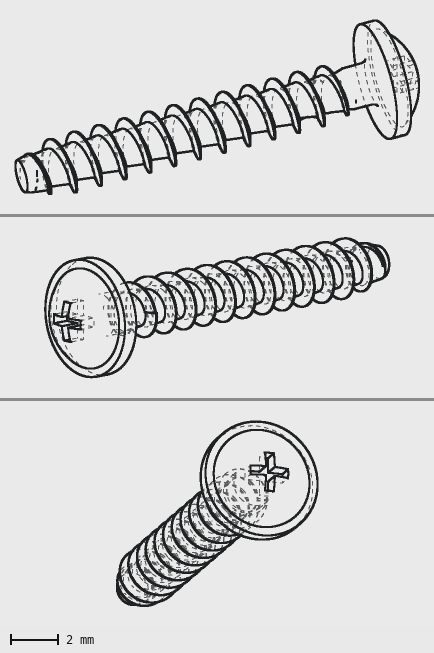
import cadquery as cq
import math


LENGTH = 17.77

FLANGE_DIAMETER = 5.0
FLANGE_RADIUS = FLANGE_DIAMETER / 2
DOME_HEIGHT = 1.15
DOME_RADIUS = 2.13
HEAD_HEIGHT = 1.8
SLOT_WIDTH = 0.39
SLOT_LENGTH = 1.67
SLOT_DEPTH = 0.89
DOME_SPHERE_RADIUS = (DOME_RADIUS**2 + DOME_HEIGHT**2) / (2 * DOME_HEIGHT)


def dome_drop(radius):
    """Axial distance from the crown to the dome surface at a given radius."""
    return DOME_SPHERE_RADIUS - math.sqrt(DOME_SPHERE_RADIUS**2 - radius**2)


CROWN_LOSS = dome_drop(SLOT_WIDTH / math.sqrt(2))
TIP_HEIGHT = LENGTH + CROWN_LOSS

SHANK_DIAMETER = 1.8
SHANK_RADIUS = SHANK_DIAMETER / 2
NECK_FILLET = 0.4
SHANK_END = 3.02
NECK_TAPER_END = 3.55
CORE_DIAMETER = 1.47
CORE_RADIUS = CORE_DIAMETER / 2
TIP_DIAMETER = 1.4
TIP_RADIUS = TIP_DIAMETER / 2
TIP_TAPER_LENGTH = 0.57

PITCH = 1.12
THREAD_DIAMETER = 2.5
THREAD_RADIUS = THREAD_DIAMETER / 2
THREAD_OFFSET = 0.15
CREST_WIDTH = 0.05
FLANK_ANGLE = 17.5
RIB_START_TURN = 2.5
RIB_FULL_TURN = 3.5
RIB_FADE_TURN = 14.25
RIB_END_TURN = 15.5
RIB_START_RADIUS = 0.96
RIB_END_RADIUS = 0.78
RIB_FOOT_DEPTH = 0.6

ROOT_HIGH_DIAMETER = 1.72
ROOT_HIGH_RADIUS = ROOT_HIGH_DIAMETER / 2
ROOT_FOOT_RADIUS = 0.64
ROOT_SLOPE_LENGTH = 1.07
ROOT_START_TURN = 2.0
ROOT_END_TURN = 16.5


def helical_solid(section, start_turn, end_turn, radius_change=0.0):
    """Solid swept by a closed axial section of (radius, height) points.

    The section keeps its shape and moves outward by radius_change from start to end.
    """
    height = PITCH * (end_turn - start_turn)
    taper = {"angle": math.degrees(math.atan2(radius_change, height))} if radius_change else {}
    helices = [
        cq.Wire.makeHelix(PITCH, height, radius, cq.Vector(0, 0, axial), **taper).Edges()[0]
        for radius, axial in section
    ]
    faces = [
        cq.Face.makeRuledSurface(helices[i - 1], helices[i])
        for i in range(len(helices))
    ]
    for end in (0, 1):
        corners = [helix.positionAt(end) for helix in helices]
        faces.append(cq.Face.makeFromWires(cq.Wire.makePolygon(corners, close=True)))
    shell = cq.Shell.makeShell(faces)
    solid = cq.Solid.makeSolid(shell).fix()
    start_height = THREAD_OFFSET + PITCH * start_turn
    placed = solid.rotate(cq.Vector(0, 0, 0), cq.Vector(0, 0, 1), 360 * start_turn)
    return cq.Workplane(placed.translate(cq.Vector(0, 0, start_height)))


def rib_section(crest_radius):
    """Symmetric trapezoid with its narrow crest at crest_radius."""
    half_crest = CREST_WIDTH / 2
    half_foot = half_crest + RIB_FOOT_DEPTH * math.tan(math.radians(FLANK_ANGLE))
    foot_radius = crest_radius - RIB_FOOT_DEPTH
    return [
        (foot_radius, -half_foot),
        (crest_radius, -half_crest),
        (crest_radius, half_crest),
        (foot_radius, half_foot),
    ]


def make_body():
    """Domed flange head, filleted neck, shank and plain core as one turned solid."""
    half_dome_radius = DOME_RADIUS / 2
    half_dome_drop = dome_drop(half_dome_radius)
    fillet_middle = NECK_FILLET * (1 - math.sqrt(0.5))
    return (
        cq.Workplane("XZ")
        .moveTo(0, 0)
        .threePointArc((half_dome_radius, half_dome_drop), (DOME_RADIUS, DOME_HEIGHT))
        .lineTo(FLANGE_RADIUS, DOME_HEIGHT)
        .lineTo(FLANGE_RADIUS, HEAD_HEIGHT)
        .lineTo(SHANK_RADIUS + NECK_FILLET, HEAD_HEIGHT)
        .threePointArc(
            (SHANK_RADIUS + fillet_middle, HEAD_HEIGHT + fillet_middle),
            (SHANK_RADIUS, HEAD_HEIGHT + NECK_FILLET),
        )
        .lineTo(SHANK_RADIUS, SHANK_END)
        .lineTo(CORE_RADIUS, NECK_TAPER_END)
        .lineTo(CORE_RADIUS, TIP_HEIGHT)
        .lineTo(0, TIP_HEIGHT)
        .close()
        .revolve(360, (0, 0, 0), (0, 1, 0))
    )


def make_recess():
    """Cross recess in the crown."""
    slot = cq.Workplane("XY").box(SLOT_LENGTH, SLOT_WIDTH, SLOT_DEPTH, centered=(True, True, False))
    return slot.union(slot.rotate((0, 0, 0), (0, 0, 1), 90))


def make_root():
    """Helical slope that thickens the core on the tip side of each turn."""
    section = [
        (ROOT_FOOT_RADIUS, 0),
        (ROOT_HIGH_RADIUS, 0),
        (CORE_RADIUS, ROOT_SLOPE_LENGTH),
        (ROOT_FOOT_RADIUS, ROOT_SLOPE_LENGTH),
    ]
    return helical_solid(section, ROOT_START_TURN, ROOT_END_TURN)


def make_rib_parts():
    """Thread rib in three stretches: rising at the shank, full, and sinking at the tip."""
    rise = THREAD_RADIUS - RIB_START_RADIUS
    sink = RIB_END_RADIUS - THREAD_RADIUS
    full_section = rib_section(THREAD_RADIUS)
    return [
        helical_solid(rib_section(RIB_START_RADIUS), RIB_START_TURN, RIB_FULL_TURN, rise),
        helical_solid(full_section, RIB_FULL_TURN, RIB_FADE_TURN),
        helical_solid(full_section, RIB_FADE_TURN, RIB_END_TURN, sink),
    ]


def make_thread_zone():
    """Cylinder that bounds the thread between the shank and the end of the tip."""
    return (
        cq.Workplane("XY")
        .workplane(offset=SHANK_END)
        .circle(FLANGE_RADIUS)
        .extrude(TIP_HEIGHT - SHANK_END)
    )


def make_tip_taper():
    """Ring to cut away so that the sloping root narrows to the tip radius."""
    return (
        cq.Workplane("XZ")
        .moveTo(ROOT_HIGH_RADIUS, TIP_HEIGHT - TIP_TAPER_LENGTH)
        .lineTo(FLANGE_RADIUS, TIP_HEIGHT - TIP_TAPER_LENGTH)
        .lineTo(FLANGE_RADIUS, TIP_HEIGHT)
        .lineTo(TIP_RADIUS, TIP_HEIGHT)
        .close()
        .revolve(360, (0, 0, 0), (0, 1, 0))
    )


thread_zone = make_thread_zone()
screw = make_body().cut(make_recess())
screw = screw.union(make_root().intersect(thread_zone)).cut(make_tip_taper())
for rib_part in make_rib_parts():
    screw = screw.union(rib_part.intersect(thread_zone))

result = screw.rotate((0, 0, 0), (1, 0, 0), 90)